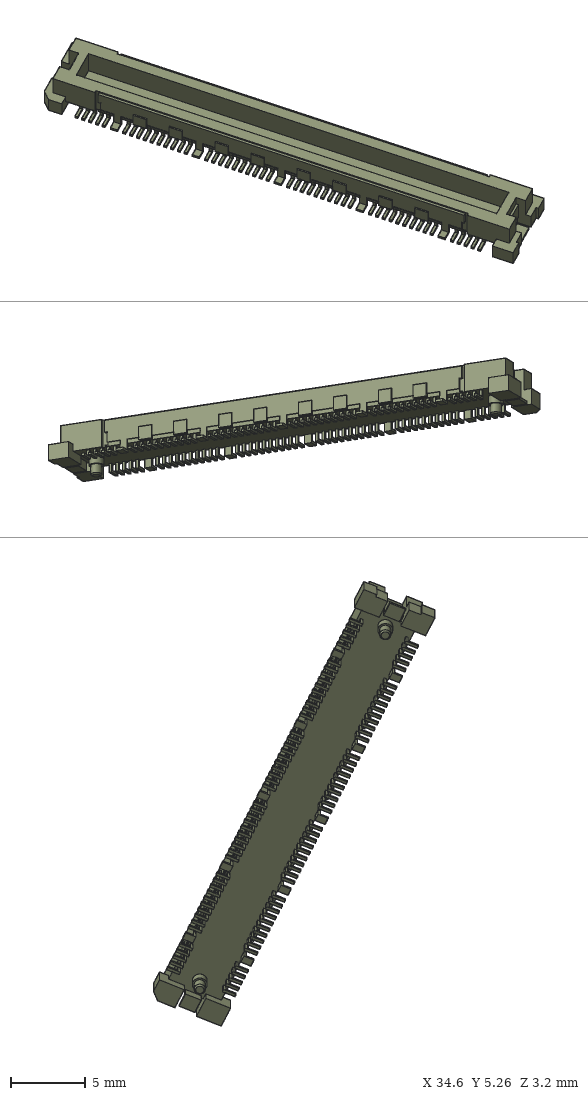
import cadquery as cq

body_bottom = 0.62
body_top = 2.55
peg_bottom = -0.65

body_length = 33.45
body_width = 3.9
cavity_length = 30.8
cavity_width = 2.05
cavity_depth = 1.75

notch_width = 1.6
notch_depth_upper = 0.7
notch_depth_lower = 0.52
notch_ledge_top = 1.9
hold_down_width = 1.18
hold_down_reach = 0.35
hold_down_thickness = 0.17

foot_left_end = -17.3
foot_right_end = 17.13
foot_right_lip = 0.17
foot_lip_width = 0.97
foot_length = 1.52
foot_outer_y = 2.63
foot_top = 1.1
foot_chamfer = 0.55

peg_offset_x = 15.0
peg_diameter = 0.75
peg_chamfer = 0.1
collar_diameter = 1.0
collar_bottom = 0.07

contact_width = 0.2
contact_thickness = 0.17
contact_inner_y = 1.6
contact_outer_y = 2.53
ground_width = 0.52
ground_span = 24.0
ground_count = 5
pitches_between_grounds = 12
first_contact_steps = 1.5
contacts_beside_ground = 5

shield_recess_length = 27.25
shield_recess_depth = 0.18
shield_length = 26.85
shield_lower_length = 26.45
shield_top = 2.45
shield_step = 1.63
shield_bottom = 0.9
skirt_depth = 0.1
skirt_step = 0.73
tab_width = 0.97
tab_height = 0.95
tab_bottom = 0.7
tab_projection = 0.1
tab_offset = 1.3

half_length = body_length / 2
half_width = body_width / 2
ground_spacing = ground_span / (ground_count - 1)
contact_pitch = ground_spacing / pitches_between_grounds
shield_inner_y = half_width - shield_recess_depth
ground_offsets = [i * ground_spacing - ground_span / 2 for i in range(ground_count)]


def block(x_range, y_range, z_range):
    """Box spanning the given (low, high) ranges."""
    size = [high - low for low, high in (x_range, y_range, z_range)]
    corner = (x_range[0], y_range[0], z_range[0])
    return cq.Workplane("XY").box(*size, centered=False).translate(corner)


def centered_block(mid_x, width, y_range, z_range):
    """Box of the given X width about mid_x."""
    return block((mid_x - width / 2, mid_x + width / 2), y_range, z_range)


def both_long_sides(part):
    """The part together with its mirror image across the XZ plane."""
    return [part, part.mirror("XZ")]


def both_ends(part):
    """The part together with its mirror image across the YZ plane."""
    return [part, part.mirror("YZ")]


def body():
    """Insulating body with its cavity, shield recesses, skirts and end notches."""
    shell = centered_block(0, body_length, (-half_width, half_width), (body_bottom, body_top))
    cavity = centered_block(
        0, cavity_length, (-cavity_width / 2, cavity_width / 2), (body_top - cavity_depth, body_top)
    )
    shell = shell.cut(cavity)
    recess = centered_block(
        0, shield_recess_length, (shield_inner_y, half_width), (body_bottom, body_top)
    )
    for cutter in both_long_sides(recess):
        shell = shell.cut(cutter)
    skirt_y = (shield_inner_y, shield_inner_y + skirt_depth)
    skirt = centered_block(0, shield_length, skirt_y, (body_bottom, skirt_step)).union(
        centered_block(0, shield_lower_length, skirt_y, (skirt_step, shield_bottom))
    )
    for rib in both_long_sides(skirt):
        shell = shell.union(rib)
    notch_y = (-notch_width / 2, notch_width / 2)
    upper = block((half_length - notch_depth_upper, half_length), notch_y, (notch_ledge_top, body_top))
    lower = block((half_length - notch_depth_lower, half_length), notch_y, (body_bottom, body_top))
    for cutter in both_ends(upper.union(lower)):
        shell = shell.cut(cutter)
    return shell


def hold_down():
    """L-shaped solder strip below the end notch at +X."""
    y_range = (-hold_down_width / 2, hold_down_width / 2)
    wall_x = half_length - notch_depth_lower
    inner_x = wall_x - hold_down_thickness
    tongue = block((inner_x, half_length + hold_down_reach), y_range, (0, hold_down_thickness))
    riser = block((inner_x, wall_x), y_range, (0, body_bottom))
    return tongue.union(riser)


def peg():
    """Locating peg with its collar, at +X."""
    pin = (
        cq.Workplane("XY", origin=(peg_offset_x, 0, peg_bottom))
        .circle(peg_diameter / 2)
        .extrude(body_bottom - peg_bottom)
        .faces("<Z")
        .chamfer(peg_chamfer)
    )
    collar = (
        cq.Workplane("XY", origin=(peg_offset_x, 0, collar_bottom))
        .circle(collar_diameter / 2)
        .extrude(body_bottom - collar_bottom)
    )
    return pin.union(collar)


def feet():
    """The four corner feet; the front left one has a chamfered corner."""
    inner_y = notch_width / 2
    z_range = (0, foot_top)
    left = block((foot_left_end, foot_left_end + foot_length), (inner_y, foot_outer_y), z_range)
    tip = foot_right_end + foot_right_lip
    right = block((tip - foot_length, foot_right_end), (inner_y, foot_outer_y), z_range).union(
        block((foot_right_end, tip), (foot_outer_y - foot_lip_width, foot_outer_y), z_range)
    )
    front_left = left.mirror("XZ").edges("|Z and <X and <Y").chamfer(foot_chamfer)
    return [left, front_left] + both_long_sides(right)


def contact(x):
    """L-shaped signal contact on the +Y side."""
    riser_y = contact_inner_y + contact_thickness
    profile = [
        (contact_inner_y, 0),
        (contact_outer_y, 0),
        (contact_outer_y, contact_thickness),
        (riser_y, contact_thickness),
        (riser_y, body_bottom),
        (contact_inner_y, body_bottom),
    ]
    start = cq.Workplane("YZ", origin=(x - contact_width / 2, 0, 0))
    return start.polyline(profile).close().extrude(contact_width)


def contacts():
    """All signal contacts of the +Y side."""
    parts = []
    for ground_x in ground_offsets:
        for i in range(contacts_beside_ground):
            step = (first_contact_steps + i) * contact_pitch
            parts += [contact(ground_x - step), contact(ground_x + step)]
    return parts


def shield():
    """Shield plate on the +Y side with its ground straps and snap tabs."""
    y_range = (shield_inner_y, half_width)
    plate = centered_block(0, shield_length, y_range, (shield_step, shield_top))
    plate = plate.union(centered_block(0, shield_lower_length, y_range, (shield_bottom, shield_step)))
    for x in ground_offsets:
        plate = plate.union(centered_block(x, ground_width, y_range, (0, shield_bottom)))
        plate = plate.union(
            centered_block(x, ground_width, (shield_inner_y, contact_outer_y), (0, contact_thickness))
        )
    for x in ground_offsets[:-1]:
        for offset in (-tab_offset, tab_offset):
            tab_x = x + ground_spacing / 2 + offset
            plate = plate.union(
                centered_block(
                    tab_x,
                    tab_width,
                    (shield_inner_y, half_width + tab_projection),
                    (tab_bottom, tab_bottom + tab_height),
                )
            )
    return plate


attached_parts = feet() + both_ends(hold_down()) + both_ends(peg())
for side_part in [shield()] + contacts():
    attached_parts += both_long_sides(side_part)
attached_solids = [part.val() for part in attached_parts]
result = cq.Workplane(body().val().fuse(*attached_solids).clean())